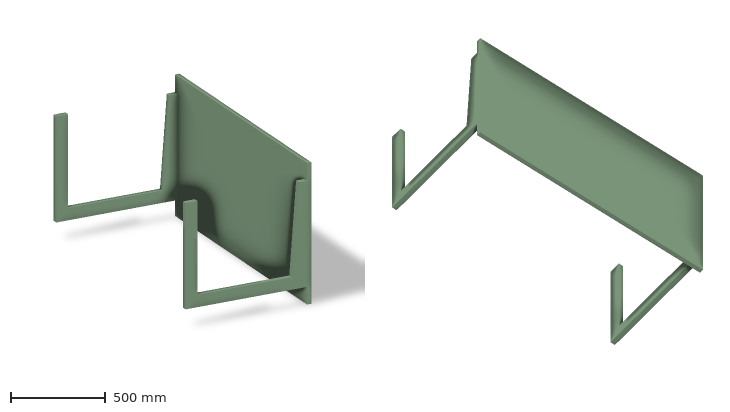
import cadquery as cq

panel_width = 1500.0
panel_height = 800.0
panel_thickness = 25.0

overall_depth = 750.0
frame_thickness = 30.0
frame_height = 600.0
bar_width = 70.0
rear_post_top = 50.0
rear_post_root = 90.0

frame_depth = overall_depth - panel_thickness
frame_bottom = (panel_height - frame_height) / 2
frame_top = frame_bottom + frame_height


def make_panel():
    """Rectangular board with its front face on the rear edge of the frames."""
    return cq.Workplane("XY").box(
        panel_width, panel_thickness, panel_height, centered=False
    ).translate((0, frame_depth, 0))


def make_frame(x_start):
    """U-shaped frame with a straight front post and a tapered rear post."""
    bar_top = frame_bottom + bar_width
    outline = [
        (0, frame_bottom),
        (frame_depth, frame_bottom),
        (frame_depth, frame_top),
        (frame_depth - rear_post_top, frame_top),
        (frame_depth - rear_post_root, bar_top),
        (bar_width, bar_top),
        (bar_width, frame_top),
        (0, frame_top),
    ]
    return (
        cq.Workplane("YZ", origin=(x_start, 0, 0))
        .polyline(outline)
        .close()
        .extrude(frame_thickness)
    )


panel = make_panel()

frames = [make_frame(x_start) for x_start in (0, panel_width - frame_thickness)]

result = cq.Compound.makeCompound([panel.val(), *[frame.val() for frame in frames]])